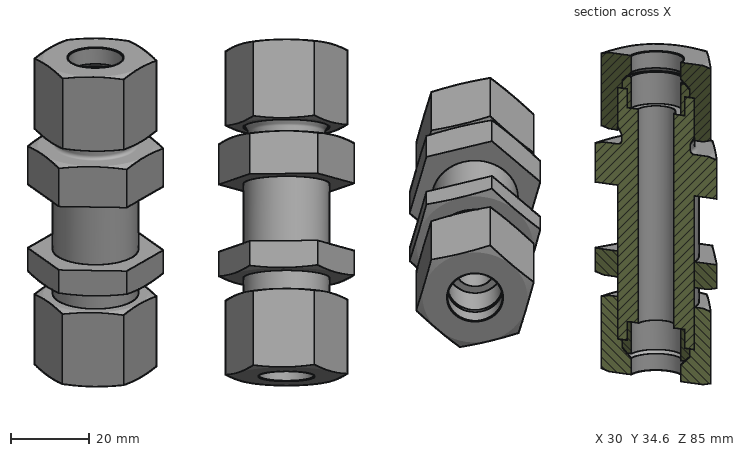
import cadquery as cq
import math


total_length = 85.0
mid_height = total_length / 2
hex_chamfer_angle = 15.0
end_face_ratio = 0.99
corner_direction = 90.0
hex_turn = 0.03

tube_diameter = 14.0
through_bore = 10.0
thread_diameter = 22.0

body_hex_width = 30.0
body_hex_bottom = 49.9
body_hex_height = 11.1
body_hex_top = body_hex_bottom + body_hex_height
tube_stop_depth = 14.0
body_end_depth = 9.0
undercut_diameter = 19.7
undercut_fillet = 1.0
undercut_flat_top = 2.3
runout_angle = 30.0

lock_nut_bottom = 25.5
lock_nut_height = 7.0

nut_width = 27.0
nut_length = 20.4
nut_mouth_chamfer = 0.2

ring_diameter = 19.0
ring_back_diameter = 16.2
ring_back_depth = 5.6
ring_back_chamfer = (ring_diameter - ring_back_diameter) / 2
ring_shoulder_depth = ring_back_depth + ring_back_chamfer
ring_nose_diameter = 16.2


def cylinder(diameter, bottom, top):
    return cq.Workplane("XY").workplane(offset=bottom).circle(diameter / 2).extrude(top - bottom)


def hexagon(width, bottom, height, chamfer_bottom=False, chamfer_top=False):
    """Hexagonal prism with two corners on the Y axis and cone-chamfered ends."""
    corner_diameter = width / math.cos(math.pi / 6)
    prism = (
        cq.Workplane("XY")
        .polygon(6, corner_diameter)
        .extrude(height)
        .rotate((0, 0, 0), (0, 0, 1), corner_direction + hex_turn)
    )
    corner_radius = corner_diameter / 2
    face_radius = end_face_ratio * width / 2
    drop = (corner_radius - face_radius) * math.tan(math.radians(hex_chamfer_angle))
    low_corner = drop if chamfer_bottom else 0
    high_corner = height - drop if chamfer_top else height
    outline = cq.Workplane("XZ").moveTo(0, 0)
    if chamfer_bottom:
        outline = outline.lineTo(face_radius, 0)
    outline = outline.lineTo(corner_radius, low_corner).lineTo(corner_radius, high_corner)
    if chamfer_top:
        outline = outline.lineTo(face_radius, height)
    envelope = outline.lineTo(0, height).close().revolve(360, (0, 0, 0), (0, 1, 0))
    return prism.intersect(envelope).translate((0, 0, bottom))


def mirrored_to_bottom(shape):
    """The same shape at the other end of the coupling."""
    return shape.rotate((0, 0, mid_height), (1, 0, mid_height), 180)


def make_upper_stem():
    """Undercut above the hexagon, thread runout and short thread, as one turned solid."""
    thread_radius = thread_diameter / 2
    undercut_radius = undercut_diameter / 2
    slope = math.radians(runout_angle)

    flat_bottom = body_hex_top + undercut_fillet
    flat_top = body_hex_top + undercut_flat_top
    fillet_center_radius = undercut_radius + undercut_fillet

    def on_fillet(center_height, angle):
        """Point on a fillet; the angle is measured up from the inward direction."""
        return (
            fillet_center_radius - undercut_fillet * math.cos(angle),
            center_height + undercut_fillet * math.sin(angle),
        )

    runout_start = on_fillet(flat_top, slope)
    runout_top = runout_start[1] + (thread_radius - runout_start[0]) / math.tan(slope)
    stem_top = total_length - body_end_depth
    return (
        cq.Workplane("XZ")
        .moveTo(0, body_hex_top)
        .lineTo(fillet_center_radius, body_hex_top)
        .threePointArc(on_fillet(flat_bottom, -math.pi / 4), (undercut_radius, flat_bottom))
        .lineTo(undercut_radius, flat_top)
        .threePointArc(on_fillet(flat_top, slope / 2), runout_start)
        .lineTo(thread_radius, runout_top)
        .lineTo(thread_radius, stem_top)
        .lineTo(0, stem_top)
        .close()
        .revolve(360, (0, 0, 0), (0, 1, 0))
    )


def make_ring_nose():
    """Solid plug that fills the recess in the upper end of the body, down to the tube stop."""
    return cylinder(
        ring_nose_diameter, total_length - tube_stop_depth, total_length - body_end_depth
    )


def make_body():
    fixed_hexagon = hexagon(body_hex_width, body_hex_bottom, body_hex_height, chamfer_top=True)
    long_thread = cylinder(thread_diameter, body_end_depth, body_hex_bottom)
    ring_seat = make_ring_nose()
    return (
        fixed_hexagon.union(long_thread)
        .union(make_upper_stem())
        .cut(cylinder(through_bore, 0, total_length))
        .cut(ring_seat)
        .cut(mirrored_to_bottom(ring_seat))
    )


def make_lock_nut():
    blank = hexagon(body_hex_width, lock_nut_bottom, lock_nut_height, chamfer_bottom=True)
    return blank.cut(cylinder(thread_diameter, lock_nut_bottom, lock_nut_bottom + lock_nut_height))


def make_union_nut():
    """Union nut of the upper end: mouth, cone against the ring, ring room and thread."""
    nut_bottom = total_length - nut_length
    mouth_radius = tube_diameter / 2
    ring_radius = ring_diameter / 2
    thread_radius = thread_diameter / 2
    shoulder = total_length - ring_shoulder_depth
    thread_end = total_length - body_end_depth
    cone_top = shoulder + (ring_radius - mouth_radius)
    cavity = (
        cq.Workplane("XZ")
        .moveTo(0, nut_bottom)
        .lineTo(thread_radius, nut_bottom)
        .lineTo(thread_radius, thread_end)
        .lineTo(ring_radius, thread_end)
        .lineTo(ring_radius, shoulder)
        .lineTo(mouth_radius, cone_top)
        .lineTo(mouth_radius, total_length - nut_mouth_chamfer)
        .lineTo(mouth_radius + nut_mouth_chamfer, total_length)
        .lineTo(0, total_length)
        .close()
        .revolve(360, (0, 0, 0), (0, 1, 0))
    )
    blank = hexagon(nut_width, nut_bottom, nut_length, chamfer_bottom=True, chamfer_top=True)
    return blank.cut(cavity)


def make_cutting_ring():
    """Ring of the upper end: chamfered back under the nut, nose down to the tube stop."""
    collar = cylinder(ring_diameter, total_length - body_end_depth, total_length - ring_back_depth)
    collar = collar.faces(">Z").chamfer(ring_back_chamfer)
    return collar.union(make_ring_nose()).cut(cylinder(tube_diameter, 0, total_length))


body = make_body()
lock_nut = make_lock_nut()
union_nut = make_union_nut()
cutting_ring = make_cutting_ring()

end_parts = []
for end_part in (union_nut, cutting_ring):
    end_parts.append(end_part.val())
    end_parts.append(mirrored_to_bottom(end_part).val())

result = cq.Compound.makeCompound([body.val(), lock_nut.val(), *end_parts])